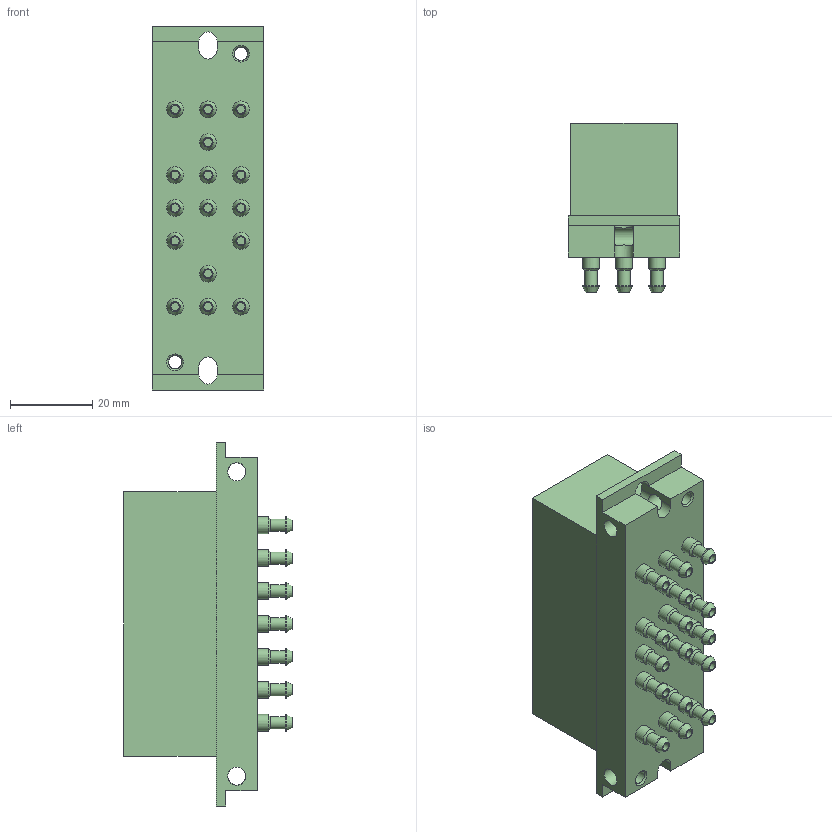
import cadquery as cq

WIDTH = 27.0
FLANGE_HEIGHT = 88.5
FLANGE_THICKNESS = 2.3
BLOCK_HEIGHT = 81.0
BLOCK_DEPTH = 10.0

HOUSING_WIDTH = 26.0
HOUSING_HEIGHT = 64.2
HOUSING_DEPTH = 22.5

SLOT_WIDTH = 4.4
SLOT_LENGTH = 6.6
SLOT_Z = 39.5

CROSS_HOLE_DIAMETER = 4.4
CROSS_HOLE_Y = 5.0
CROSS_HOLE_Z = 37.0

SCREW_HOLE_DIAMETER = 3.24
SCREW_HOLE_MOUTH_DIAMETER = 4.04
SCREW_HOLE_Z = 37.5

PITCH = 8.0
PIN_LENGTH = 8.5
PIN_BASE_DIAMETER = 4.04
PIN_BASE_LENGTH = 2.7
PIN_NECK_START = 3.2
PIN_NECK_DIAMETER = 3.0
PIN_BARB_DIAMETER = PIN_BASE_DIAMETER
PIN_BARB_START = 6.8
PIN_CONE_START = 7.05
PIN_TIP_DIAMETER = 2.46
PIN_BORE_DIAMETER = 2.0

OUTER_COLUMNS = (-1, 1)
CENTRE_COLUMN = (0,)
ALL_COLUMNS = (-1, 0, 1)
PIN_ROWS = (
    ALL_COLUMNS,
    CENTRE_COLUMN,
    ALL_COLUMNS,
    ALL_COLUMNS,
    OUTER_COLUMNS,
    CENTRE_COLUMN,
    ALL_COLUMNS,
)


def slab(width, height, y_front, y_back):
    """Rectangular slab centred on X and Z, between two Y positions."""
    depth = y_back - y_front
    y_centre = (y_front + y_back) / 2
    return cq.Workplane("XY").box(width, depth, height).translate((0, y_centre, 0))


def make_body():
    block = slab(WIDTH, BLOCK_HEIGHT, 0, BLOCK_DEPTH)
    flange = slab(WIDTH, FLANGE_HEIGHT, BLOCK_DEPTH - FLANGE_THICKNESS, BLOCK_DEPTH)
    housing = slab(HOUSING_WIDTH, HOUSING_HEIGHT, BLOCK_DEPTH, BLOCK_DEPTH + HOUSING_DEPTH)
    return block.union(flange).union(housing)


def cut_mounting_slots(body):
    slots = (
        cq.Workplane("XZ")
        .pushPoints([(0, SLOT_Z), (0, -SLOT_Z)])
        .slot2D(SLOT_LENGTH, SLOT_WIDTH, 90)
        .extrude(-BLOCK_DEPTH)
    )
    return body.cut(slots)


def cut_cross_holes(body):
    holes = (
        cq.Workplane("YZ")
        .pushPoints([(CROSS_HOLE_Y, CROSS_HOLE_Z), (CROSS_HOLE_Y, -CROSS_HOLE_Z)])
        .circle(CROSS_HOLE_DIAMETER / 2)
        .extrude(WIDTH / 2, both=True)
    )
    return body.cut(holes)


def cut_screw_holes(body):
    hole_radius = SCREW_HOLE_DIAMETER / 2
    mouth_radius = SCREW_HOLE_MOUTH_DIAMETER / 2
    mouth_depth = mouth_radius - hole_radius
    hole = (
        cq.Workplane("XY")
        .lineTo(mouth_radius, 0)
        .lineTo(hole_radius, mouth_depth)
        .lineTo(hole_radius, BLOCK_DEPTH)
        .lineTo(0, BLOCK_DEPTH)
        .close()
        .revolve(360, (0, 0, 0), (0, 1, 0))
    )
    for side in (1, -1):
        body = body.cut(hole.translate((side * PITCH, 0, side * SCREW_HOLE_Z)))
    return body


def make_pin():
    """Hollow barbed pin on the Y axis, standing on the block face."""
    return (
        cq.Workplane("XY")
        .moveTo(PIN_BORE_DIAMETER / 2, 0)
        .lineTo(PIN_BASE_DIAMETER / 2, 0)
        .lineTo(PIN_BASE_DIAMETER / 2, -PIN_BASE_LENGTH)
        .lineTo(PIN_NECK_DIAMETER / 2, -PIN_NECK_START)
        .lineTo(PIN_NECK_DIAMETER / 2, -PIN_BARB_START)
        .lineTo(PIN_BARB_DIAMETER / 2, -PIN_BARB_START)
        .lineTo(PIN_BARB_DIAMETER / 2, -PIN_CONE_START)
        .lineTo(PIN_TIP_DIAMETER / 2, -PIN_LENGTH)
        .lineTo(PIN_BORE_DIAMETER / 2, -PIN_LENGTH)
        .close()
        .revolve(360, (0, 0, 0), (0, 1, 0))
    )


def add_pins(body):
    pin = make_pin()
    top_row_z = PITCH * (len(PIN_ROWS) - 1) / 2
    for row, columns in enumerate(PIN_ROWS):
        for column in columns:
            body = body.union(pin.translate((column * PITCH, 0, top_row_z - row * PITCH)))
    return body


body = make_body()
body = cut_mounting_slots(body)
body = cut_cross_holes(body)
body = cut_screw_holes(body)
result = add_pins(body)